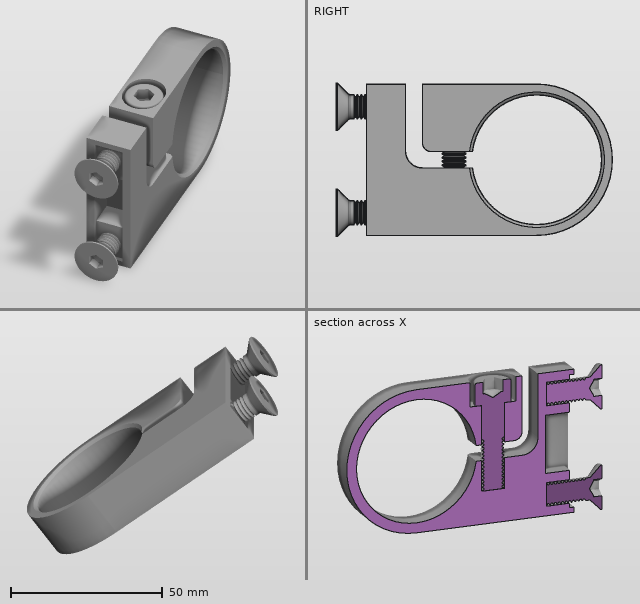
import cadquery as cq
import math

overall_length = 91.3

width = 16.0
ring_radius = 25.0
bore_radius = 21.4
bore_chamfer = 1.0
front_y = -56.2
slit_height = 5.3
slit_width = 5.5
jaw_front_y = -37.8
jaw_corner_radius = 3.0
slit_corner_radius = 5.5
plate_back_y = jaw_front_y - slit_width

pocket_width = 10.0
pocket_height = 46.1
pocket_depth = 1.5
recess_height = 20.1
recess_depth = 10.0

thread_diameter = 8.0
thread_pitch = 1.3
thread_depth = 0.685
thread_half_angle = 30
crest_flat = thread_pitch / 8
thread_flank = thread_depth * math.tan(math.radians(thread_half_angle))

cap_y = -27.3
cap_head_diameter = 13.0
cap_head_height = 8.0
cap_head_round = 0.8
cap_head_gap = 0.5
cap_shank = 12.0
cap_turns = 14
cap_hex = 6.0
cap_hex_depth = 4.0
counterbore_width = 13.6
counterbore_length = 16.25
cap_head_top = ring_radius - cap_head_gap
cap_seat = cap_head_top - cap_head_height
cap_length = cap_head_height + cap_shank + cap_turns * thread_pitch

flat_front_y = ring_radius - overall_length
flat_spacing = 35.0
flat_head_diameter = 15.6
flat_rim = 0.55
flat_shank = 1.5
flat_neck_round = 0.7
flat_turns = 11
flat_hex = 5.0
flat_hex_depth = 3.0
flat_cone = (flat_head_diameter - thread_diameter) / 2
flat_head_height = flat_rim + flat_cone
flat_length = flat_head_height + flat_shank + flat_turns * thread_pitch

socket_tip_angle = 120


def jaw_slit():
    """L-shaped slit that runs forward from the bore and turns up to the top face."""
    top = slit_height / 2
    return (
        cq.Workplane("YZ")
        .moveTo(0, -top)
        .lineTo(0, top)
        .lineTo(jaw_front_y + jaw_corner_radius, top)
        .radiusArc((jaw_front_y, top + jaw_corner_radius), jaw_corner_radius)
        .lineTo(jaw_front_y, ring_radius)
        .lineTo(plate_back_y, ring_radius)
        .lineTo(plate_back_y, slit_corner_radius - top)
        .radiusArc((plate_back_y + slit_corner_radius, -top), -slit_corner_radius)
        .close()
        .extrude(width / 2, both=True)
    )


def bore():
    """Bore through the ring, flared by a chamfer at both ends."""
    half = width / 2
    mouth_radius = bore_radius + bore_chamfer
    return (
        cq.Workplane("XY")
        .polyline([
            (-half, 0),
            (-half, mouth_radius),
            (-half + bore_chamfer, bore_radius),
            (half - bore_chamfer, bore_radius),
            (half, mouth_radius),
            (half, 0),
        ])
        .close()
        .revolve(360, (0, 0), (1, 0))
    )


def front_pocket(height, depth):
    """Rectangular pocket cut into the front face."""
    return cq.Workplane("XY").box(pocket_width, depth, height).translate((0, front_y + depth / 2, 0))


def cap_screw_hole():
    """Screw hole through the upper jaw into the lower one, with an oblong counterbore."""
    hole = (
        cq.Workplane("XY", origin=(0, cap_y, cap_head_top))
        .circle(thread_diameter / 2)
        .extrude(-cap_length)
    )
    counterbore = (
        cq.Workplane("XY", origin=(0, cap_y, cap_seat))
        .slot2D(counterbore_length, counterbore_width, 90)
        .extrude(ring_radius - cap_seat)
    )
    return hole.union(counterbore)


def flat_screw_hole(z):
    """Blind hole, as deep as the screw tip."""
    return (
        cq.Workplane("XZ", origin=(0, flat_front_y, z))
        .circle(thread_diameter / 2)
        .extrude(-flat_length)
    )


def make_clamp(flat_screw_heights):
    body = (
        cq.Workplane("YZ")
        .moveTo(0, ring_radius)
        .threePointArc((ring_radius, 0), (0, -ring_radius))
        .lineTo(front_y, -ring_radius)
        .lineTo(front_y, ring_radius)
        .close()
        .extrude(width / 2, both=True)
    )
    body = body.cut(bore()).cut(jaw_slit())
    body = body.cut(front_pocket(pocket_height, pocket_depth))
    body = body.cut(front_pocket(recess_height, recess_depth))
    body = body.cut(cap_screw_hole())
    for z in flat_screw_heights:
        body = body.cut(flat_screw_hole(z))
    return body


def thread_points(start, turns):
    """Outline points of ring-shaped V grooves, going down the Z axis from height start."""
    crest = thread_diameter / 2
    root = crest - thread_depth
    points = []
    for turn in range(turns):
        top = start - turn * thread_pitch
        bottom = top - thread_pitch
        points += [
            (crest, top - crest_flat / 2),
            (root, top - crest_flat / 2 - thread_flank),
            (root, bottom + crest_flat / 2 + thread_flank),
            (crest, bottom + crest_flat / 2),
        ]
    end = start - turns * thread_pitch
    return points + [(crest, end), (0, end)]


def revolved_screw(head_points, thread_start, turns):
    """Screw on the Z axis with the top of its head at the origin."""
    points = [(0, 0)] + head_points + thread_points(thread_start, turns)
    return cq.Workplane("XZ").polyline(points).close().revolve(360, (0, 0), (0, 1))


def hex_socket(across_flats, depth):
    """Hexagonal socket with two flats facing +X and -X and a conical bottom."""
    hexagon = (
        cq.Workplane("XY")
        .polygon(6, across_flats / math.cos(math.radians(30)))
        .extrude(-depth)
        .rotate((0, 0, 0), (0, 0, 1), 30)
    )
    radius = across_flats / 2
    tip_depth = radius / math.tan(math.radians(socket_tip_angle / 2))
    tip = (
        cq.Workplane("XZ")
        .polyline([(0, -depth), (radius, -depth), (0, -depth - tip_depth)])
        .close()
        .revolve(360, (0, 0), (0, 1))
    )
    return hexagon.union(tip)


def make_cap_screw():
    head_radius = cap_head_diameter / 2
    head = [
        (head_radius, 0),
        (head_radius, -cap_head_height),
        (thread_diameter / 2, -cap_head_height),
    ]
    screw = revolved_screw(head, -cap_head_height - cap_shank, cap_turns)
    screw = screw.faces(">Z").edges().fillet(cap_head_round)
    screw = screw.cut(hex_socket(cap_hex, cap_hex_depth))
    return screw.translate((0, cap_y, cap_head_top))


def make_flat_screw(z):
    head_radius = flat_head_diameter / 2
    head = [
        (head_radius, 0),
        (head_radius, -flat_rim),
        (thread_diameter / 2, -flat_head_height),
    ]
    screw = revolved_screw(head, -flat_head_height - flat_shank, flat_turns)
    neck = cq.selectors.BoxSelector(
        (-head_radius, -head_radius, -flat_head_height - flat_rim / 2),
        (head_radius, head_radius, -flat_head_height + flat_rim / 2),
        boundingbox=True,
    )
    screw = screw.edges(neck).fillet(flat_neck_round)
    screw = screw.cut(hex_socket(flat_hex, flat_hex_depth))
    screw = screw.rotate((0, 0, 0), (1, 0, 0), 90)
    return screw.translate((0, flat_front_y, z))


flat_screw_heights = [-flat_spacing / 2, flat_spacing / 2]

clamp = make_clamp(flat_screw_heights)
cap_screw = make_cap_screw()
flat_screws = [make_flat_screw(z) for z in flat_screw_heights]

result = cq.Compound.makeCompound([
    clamp.solids().val(),
    cap_screw.solids().val(),
    *[screw.solids().val() for screw in flat_screws],
])